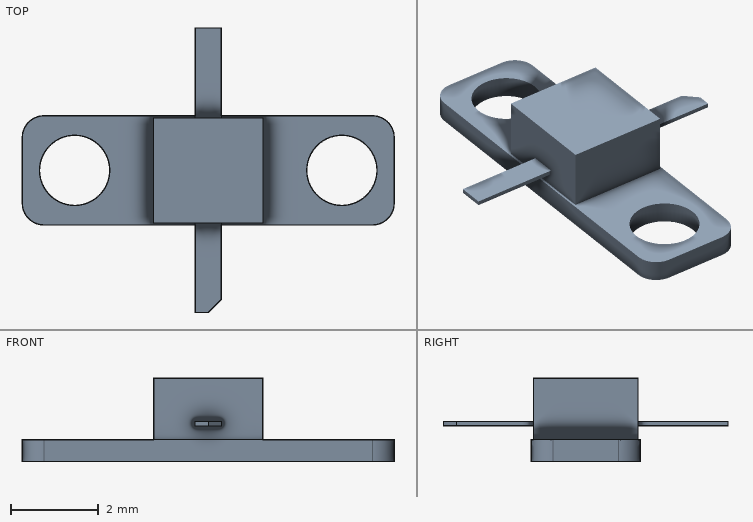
import cadquery as cq

flange_length = 8.5
flange_width = 2.5
flange_thickness = 0.5
corner_radius = 0.5
hole_diameter = 1.6
hole_spacing = 6.1

overall_height = 1.9
body_length = 2.5
body_width = 2.4

lead_span = 6.5
lead_width = 0.6
lead_thickness = 0.1
lead_bottom = 0.82
lead_chamfer = lead_width / 2


def make_flange():
    """Rounded plate with two through holes."""
    plate = (
        cq.Workplane("XY")
        .rect(flange_length, flange_width)
        .extrude(flange_thickness)
        .edges("|Z")
        .fillet(corner_radius)
    )
    return (
        plate.faces(">Z")
        .workplane()
        .rarray(hole_spacing, 0.085, 2, 1)
        .hole(hole_diameter)
    )


def make_body():
    """Plain block from the flange top to the full height."""
    return (
        cq.Workplane("XY", origin=(0, 0, flange_thickness))
        .rect(body_length, body_width)
        .extrude(overall_height - flange_thickness)
    )


def make_lead():
    """Thin strip with one chamfered corner at its +X, -Y end."""
    return (
        cq.Workplane("XY", origin=(0, 0, lead_bottom))
        .rect(lead_width, lead_span)
        .extrude(lead_thickness)
        .edges("|Z and >X and <Y")
        .chamfer(lead_chamfer)
    )


result = make_flange().union(make_body()).union(make_lead())